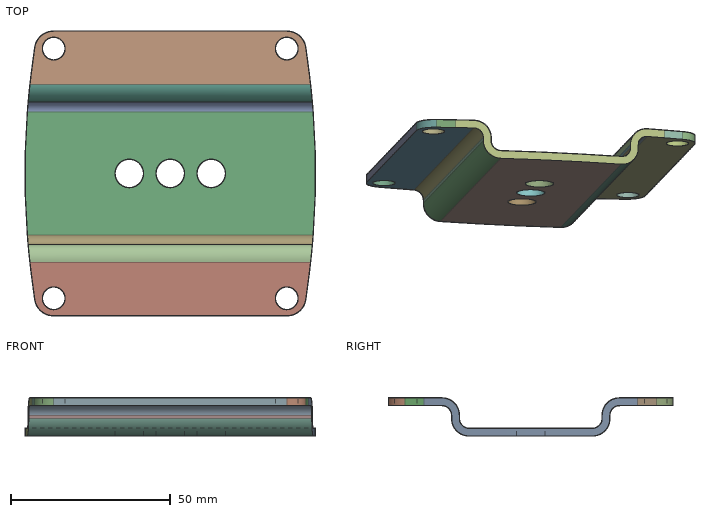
import cadquery as cq
import math

plate_width = 90.83
plate_length = 89.0
plate_height = 12.0
sheet = 2.5

inner_bend = 3.0
outer_bend = inner_bend + sheet
channel_outer = 49.5

side_radius = 250.0
bow_length = 66.8
corner_radius = 6.0

floor_hole_dia = 8.8
floor_hole_pitch = 12.8
floor_hole_count = 3
flange_hole_dia = 7.0
flange_hole_x = 36.4
flange_hole_y = 39.0

top_z = plate_height / 2
bottom_z = -top_z
half_length = plate_length / 2


def arc_mid(center_y, center_z, radius, y_sign, z_sign):
    """Point halfway along a quarter arc, in the quadrant given by the signs."""
    reach = radius * math.sqrt(0.5)
    return (center_y + y_sign * reach, center_z + z_sign * reach)


def bent_strip():
    """Constant-thickness hat section in YZ, extruded along X."""
    wall_out = channel_outer / 2
    wall_in = wall_out - sheet
    flange_start = wall_in + outer_bend
    floor_end = wall_out - outer_bend
    upper_z = top_z - outer_bend
    lower_z = bottom_z + outer_bend

    half = (
        cq.Workplane("YZ")
        .moveTo(0, bottom_z)
        .lineTo(floor_end, bottom_z)
        .threePointArc(arc_mid(floor_end, lower_z, outer_bend, 1, -1), (wall_out, lower_z))
        .lineTo(wall_out, upper_z)
        .threePointArc(arc_mid(flange_start, upper_z, inner_bend, -1, 1), (flange_start, top_z - sheet))
        .lineTo(half_length, top_z - sheet)
        .lineTo(half_length, top_z)
        .lineTo(flange_start, top_z)
        .threePointArc(arc_mid(flange_start, upper_z, outer_bend, -1, 1), (wall_in, upper_z))
        .lineTo(wall_in, lower_z)
        .threePointArc(arc_mid(floor_end, lower_z, inner_bend, 1, -1), (floor_end, bottom_z + sheet))
        .lineTo(0, bottom_z + sheet)
        .close()
        .extrude(plate_width / 2, both=True)
    )
    return half.union(half.mirror("XZ"))


def plan_outline():
    """Plan shape: bowed sides that run on tangentially to rounded corners."""
    half_width = plate_width / 2
    bow_half = bow_length / 2
    bow_angle = math.asin(bow_half / side_radius)
    bow_end_x = half_width - side_radius * (1 - math.cos(bow_angle))
    corner_x = bow_end_x - (half_length - bow_half) * math.tan(bow_angle)
    return (
        cq.Workplane("XY", origin=(0, 0, bottom_z))
        .moveTo(bow_end_x, -bow_half)
        .threePointArc((half_width, 0), (bow_end_x, bow_half))
        .lineTo(corner_x, half_length)
        .lineTo(-corner_x, half_length)
        .lineTo(-bow_end_x, bow_half)
        .threePointArc((-half_width, 0), (-bow_end_x, -bow_half))
        .lineTo(-corner_x, -half_length)
        .lineTo(corner_x, -half_length)
        .close()
        .extrude(plate_height)
        .edges("|Z and (>Y or <Y)")
        .fillet(corner_radius)
    )


def hole_cutters():
    """Row of holes along the channel floor and one hole in each flange corner."""
    plane = cq.Workplane("XY", origin=(0, 0, bottom_z))
    floor_holes = (
        plane.rarray(floor_hole_pitch, floor_hole_pitch, floor_hole_count, 1)
        .circle(floor_hole_dia / 2)
        .extrude(plate_height)
    )
    flange_holes = (
        plane.rarray(2 * flange_hole_x, 2 * flange_hole_y, 2, 2)
        .circle(flange_hole_dia / 2)
        .extrude(plate_height)
    )
    return floor_holes.union(flange_holes)


plate = bent_strip().intersect(plan_outline()).cut(hole_cutters())

result = cq.Compound.makeCompound([plate.val()])